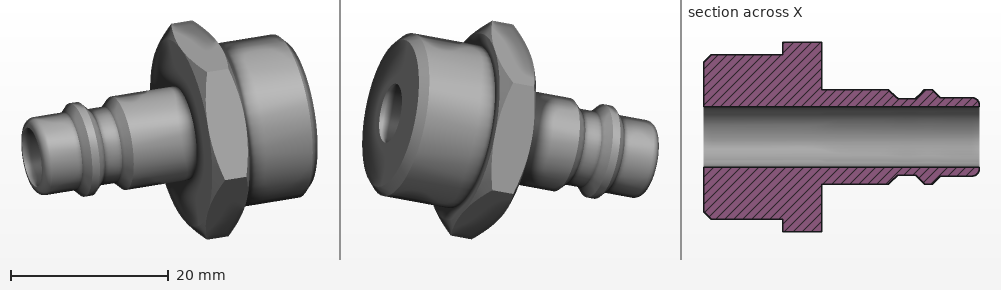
import cadquery as cq
import math

total_length = 35.0

across_flats = 24.0
hex_sides = 6
hex_thickness = 5.0
hex_chamfer_angle = 30.0

spigot_diameter = 20.95
spigot_length = 10.0
spigot_chamfer = 1.0

tip_diameter = 10.0
tip_length = 5.0
tip_round = 1.0
stem_diameter = 12.0
collar_width = 1.0
groove_diameter = 9.8
groove_width = 2.25
stem_cone_length = 1.2

bore_diameter = 7.6

tip_radius = tip_diameter / 2
stem_radius = stem_diameter / 2
groove_radius = groove_diameter / 2
spigot_radius = spigot_diameter / 2
bore_radius = bore_diameter / 2
hex_back = total_length - spigot_length
hex_front = hex_back - hex_thickness
collar_front = tip_length + stem_radius - tip_radius
collar_back = collar_front + collar_width
groove_front = collar_back + stem_radius - groove_radius
groove_back = groove_front + groove_width
stem_front = groove_back + stem_cone_length


def revolve_about_y(profile):
    """Close a half profile and turn it fully around the Y axis."""
    return profile.close().revolve(360, (0, 0, 0), (0, 1, 0))


def make_plug():
    """Stem, groove, collar and rounded tip, ending on the flange."""
    round_mid = tip_round * (1 - math.sqrt(0.5))
    return revolve_about_y(
        cq.Workplane("XY")
        .lineTo(tip_radius - tip_round, 0)
        .threePointArc((tip_radius - round_mid, round_mid), (tip_radius, tip_round))
        .lineTo(tip_radius, tip_length)
        .lineTo(stem_radius, collar_front)
        .lineTo(stem_radius, collar_back)
        .lineTo(groove_radius, groove_front)
        .lineTo(groove_radius, groove_back)
        .lineTo(stem_radius, stem_front)
        .lineTo(stem_radius, hex_front)
        .lineTo(0, hex_front)
    )


def make_hex_flange():
    """Hexagonal prism with its corners chamfered conically on both faces."""
    flat_radius = across_flats / 2
    corner_radius = flat_radius / math.cos(math.pi / hex_sides)
    chamfer_depth = (corner_radius - flat_radius) * math.tan(math.radians(hex_chamfer_angle))
    prism = (
        cq.Workplane("XZ", origin=(0, hex_back, 0))
        .polygon(hex_sides, 2 * corner_radius)
        .extrude(hex_thickness)
    )
    chamfer_envelope = revolve_about_y(
        cq.Workplane("XY")
        .moveTo(0, hex_front)
        .lineTo(flat_radius, hex_front)
        .lineTo(corner_radius, hex_front + chamfer_depth)
        .lineTo(corner_radius, hex_back - chamfer_depth)
        .lineTo(flat_radius, hex_back)
        .lineTo(0, hex_back)
    )
    return prism.intersect(chamfer_envelope)


def make_spigot():
    """Cylinder behind the flange, chamfered at its free end."""
    return (
        cq.Workplane("XZ", origin=(0, total_length, 0))
        .circle(spigot_radius)
        .extrude(spigot_length)
        .faces(">Y")
        .chamfer(spigot_chamfer)
    )


def make_bore():
    """Straight bore through the whole length."""
    return (
        cq.Workplane("XZ", origin=(0, total_length, 0))
        .circle(bore_radius)
        .extrude(total_length)
    )


result = make_plug().union(make_hex_flange()).union(make_spigot()).cut(make_bore())